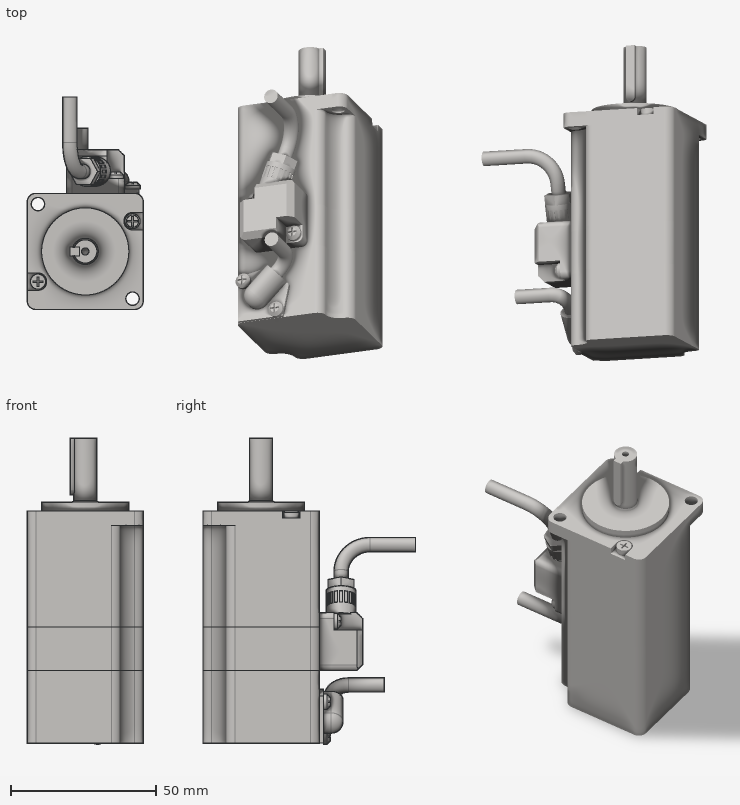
import cadquery as cq
import math

COS_45 = math.sqrt(0.5)

FRAME = 40.0
FRAME_HALF = FRAME / 2
CORNER_RADIUS = 3.0
REAR_TOP = 25.0
BRAKE_TOP = 40.0
FLANGE_TOP = 80.0
FLANGE_THICKNESS = 5.0
FLANGE_BOTTOM = FLANGE_TOP - FLANGE_THICKNESS

PILOT_DIAMETER = 30.0
PILOT_HEIGHT = 3.0
PILOT_TOP = FLANGE_TOP + PILOT_HEIGHT
SHAFT_DIAMETER = 8.0
SHAFT_LENGTH = 25.0
SHAFT_TOP = FLANGE_TOP + SHAFT_LENGTH
SHAFT_FOOT = 0.5
SHAFT_HOLE_DIAMETER = 2.5
SHAFT_HOLE_DEPTH = 6.0
DRILL_POINT_ANGLE = 118.0
KEY_WIDTH = 3.0
KEY_LENGTH = 19.6
KEY_OUTER_X = -5.2
KEY_INNER_X = -2.0

BOLT_CIRCLE = 46.0
HOLE_OFFSET = BOLT_CIRCLE / 2 * COS_45
HOLE_DIAMETER = 4.5
RELIEF_OPENING = 11.0
RELIEF_RADIUS = RELIEF_OPENING - 2 * CORNER_RADIUS

SCREW_X = HOLE_OFFSET
SCREW_Y = 10.4
SLOT_WIDTH = 6.0
SLOT_DEPTH = 2.4
FLANGE_SCREW_DIAMETER = 5.2
FLANGE_SCREW_CHAMFER = 0.5
CROSS_LENGTH = 3.3
CROSS_WIDTH = 0.6
CROSS_DEPTH = 1.0

HEAD_DIAMETER = 5.3
HEAD_RIM = 1.3
HEAD_HEIGHT = 2.4
HEAD_TOP_DIAMETER = 3.0

BLOCK_SIZE = 20.0
BLOCK_DEPTH = 15.0
BLOCK_X = 3.5
BLOCK_Z = REAR_TOP + BLOCK_SIZE / 2
BLOCK_CORNER_RADIUS = 2.0
BLOCK_CHAMFER = 2.1
BLOCK_NOTCH = 6.0
BLOCK_NOTCH_FLOOR = 5.0
GLAND_TILT = 20.0
GLAND_X = 3.85
GLAND_Y = FRAME_HALF + 7.5
GLAND_Z = 43.2
BARREL_DIAMETER = 10.3
BARREL_LENGTH = 9.9
GROOVE_COUNT = 18
GROOVE_WIDTH = 1.1
GROOVE_DEPTH = 0.3
GROOVE_LENGTH = 4.1
GROOVE_TOP_GAP = 1.8
NUT_ACROSS_FLATS = 9.0
NUT_HEIGHT = 3.2
POWER_CABLE_DIAMETER = 5.0
POWER_CABLE_STUB = 3.7
POWER_CABLE_BEND = 10.0
POWER_CABLE_END = 53.12

PLATE_THICKNESS = 1.4
PLATE_RIGHT = 18.5
PLATE_SIDE_TILT = 12.0
ENCODER_TILT = 45.0
BOSS_X = 3.55
BOSS_Z = 15.0
MOUTH_HALF = 3.65
BOSS_RADIUS = 4.1
BOSS_AXIS_Y = FRAME_HALF + 4.1
BOSS_LENGTH = 10.5
ENCODER_SCREW_LOW = (4.3, 2.3)
ENCODER_SCREW_HIGH = (16.3, 14.3)
ENCODER_CABLE_DIAMETER = 5.0
ENCODER_CABLE_STUB = 1.2
ENCODER_CABLE_BEND = 6.0
ENCODER_CABLE_END = 42.4


def slab(bottom, top):
    """Square frame section with rounded corners."""
    return (
        cq.Workplane("XY", origin=(0, 0, bottom))
        .rect(FRAME, FRAME)
        .extrude(top - bottom)
        .edges("|Z")
        .fillet(CORNER_RADIUS)
    )


def corner_relief(bottom, top):
    """Waste behind the mounting hole at (-X, +Y): a hollow with rounded lips."""
    r = CORNER_RADIUS
    s = COS_45
    side = FRAME_HALF
    lip = side - RELIEF_OPENING
    hollow = side - r
    wall = hollow - RELIEF_RADIUS
    return (
        cq.Workplane("XY", origin=(0, 0, bottom))
        .moveTo(-side, lip)
        .threePointArc((-side + r * (1 - s), lip + r * s), (-hollow, lip + r))
        .threePointArc((-hollow + RELIEF_RADIUS * s, hollow - RELIEF_RADIUS * s), (-wall, hollow))
        .threePointArc((-wall + r - r * s, side - r * (1 - s)), (-lip, side))
        .lineTo(-side, side)
        .close()
        .extrude(top - bottom)
    )


def relieved_slab(bottom, top):
    """Frame section without the two corners behind the mounting holes."""
    relief = corner_relief(bottom, top)
    opposite = relief.rotate((0, 0, 0), (0, 0, 1), 180)
    return slab(bottom, top).cut(relief).cut(opposite)


def key_blank():
    """Key with a round lower end, flush with the shaft end."""
    radius = KEY_WIDTH / 2
    straight = KEY_LENGTH - radius
    return (
        cq.Workplane("YZ", origin=(KEY_OUTER_X, 0, SHAFT_TOP))
        .moveTo(-radius, 0)
        .lineTo(-radius, -straight)
        .threePointArc((0, -KEY_LENGTH), (radius, -straight))
        .lineTo(radius, 0)
        .close()
        .extrude(KEY_INNER_X - KEY_OUTER_X)
    )


def shaft():
    """Shaft on a small conical foot, with a drilled hole in its end."""
    radius = SHAFT_DIAMETER / 2
    hole_radius = SHAFT_HOLE_DIAMETER / 2
    hole_bottom = SHAFT_TOP - SHAFT_HOLE_DEPTH
    hole_tip = hole_bottom - hole_radius / math.tan(math.radians(DRILL_POINT_ANGLE / 2))
    return (
        cq.Workplane("XZ")
        .moveTo(0, FLANGE_TOP)
        .lineTo(radius + SHAFT_FOOT, FLANGE_TOP)
        .lineTo(radius + SHAFT_FOOT, PILOT_TOP)
        .lineTo(radius, PILOT_TOP + SHAFT_FOOT)
        .lineTo(radius, SHAFT_TOP)
        .lineTo(hole_radius, SHAFT_TOP)
        .lineTo(hole_radius, hole_bottom)
        .lineTo(0, hole_tip)
        .close()
        .revolve(360, (0, 0), (0, 1))
    )


def screw_slot():
    """Round-ended slot for the flange screw at (+X, +Y), open to the +X side."""
    reach = FRAME_HALF - SCREW_X
    base = cq.Workplane("XY", origin=(SCREW_X, SCREW_Y, FLANGE_TOP - SLOT_DEPTH))
    round_end = base.circle(SLOT_WIDTH / 2).extrude(SLOT_DEPTH)
    mouth = base.center(reach / 2, 0).rect(reach, SLOT_WIDTH).extrude(SLOT_DEPTH)
    return round_end.union(mouth)


def motor_body():
    """Front section: relieved frame, flange, pilot and keyed shaft."""
    pilot = cq.Workplane("XY", origin=(0, 0, FLANGE_TOP)).circle(PILOT_DIAMETER / 2).extrude(PILOT_HEIGHT)
    holes = (
        cq.Workplane("XY", origin=(0, 0, FLANGE_BOTTOM))
        .pushPoints([(-HOLE_OFFSET, HOLE_OFFSET), (HOLE_OFFSET, -HOLE_OFFSET)])
        .circle(HOLE_DIAMETER / 2)
        .extrude(FLANGE_THICKNESS)
    )
    slot = screw_slot()
    return (
        relieved_slab(BRAKE_TOP, FLANGE_BOTTOM)
        .union(slab(FLANGE_BOTTOM, FLANGE_TOP))
        .union(pilot)
        .union(shaft())
        .cut(holes)
        .cut(slot)
        .cut(slot.rotate((0, 0, 0), (0, 0, 1), 180))
        .cut(key_blank())
    )


def cross_recess(workplane):
    """Cross-shaped driver recess sunk below the given plane."""
    bar = workplane.rect(CROSS_LENGTH, CROSS_WIDTH).extrude(-CROSS_DEPTH)
    return bar.union(workplane.rect(CROSS_WIDTH, CROSS_LENGTH).extrude(-CROSS_DEPTH))


def flange_screw(x, y, chamfered):
    """Cylinder head lying on its slot floor, level with the flange face."""
    head = (
        cq.Workplane("XY", origin=(x, y, FLANGE_TOP - SLOT_DEPTH))
        .circle(FLANGE_SCREW_DIAMETER / 2)
        .extrude(SLOT_DEPTH)
    )
    if chamfered:
        head = head.faces(">Z").chamfer(FLANGE_SCREW_CHAMFER)
    return head.cut(cross_recess(cq.Workplane("XY", origin=(x, y, FLANGE_TOP))))


def connector_screw(x, y, z):
    """Raised screw head on a face at height y, pointing along +Y."""
    head = (
        cq.Workplane("XY")
        .lineTo(HEAD_DIAMETER / 2, 0)
        .lineTo(HEAD_DIAMETER / 2, HEAD_RIM)
        .lineTo(HEAD_TOP_DIAMETER / 2, HEAD_HEIGHT)
        .lineTo(0, HEAD_HEIGHT)
        .close()
        .revolve(360, (0, 0), (0, 1))
        .translate((x, y, z))
    )
    crown = cq.Workplane(cq.Plane((x, y + HEAD_HEIGHT, z), xDir=(1, 0, 0), normal=(0, 1, 0)))
    return head.cut(cross_recess(crown))


def tilted_plane(x, y, z, tilt):
    """Plane whose normal is +Z leaned by tilt degrees toward -X; its x direction is +Y."""
    angle = math.radians(tilt)
    return cq.Plane((x, y, z), xDir=(0, 1, 0), normal=(-math.sin(angle), 0, math.cos(angle)))


def raised(plane, height):
    """The same plane moved along its normal."""
    return cq.Plane(plane.origin + plane.zDir * height, xDir=plane.xDir, normal=plane.zDir)


def cable(plane, diameter, stub, bend, end_y):
    """Cable leaving the plane squarely, then bending to run along +Y as far as end_y."""
    s = COS_45
    start = plane.origin
    bend_start = plane.toWorldCoords((0, 0, stub))
    bend_middle = plane.toWorldCoords((bend * (1 - s), 0, stub + bend * s))
    bend_end = plane.toWorldCoords((bend, 0, stub + bend))
    end = cq.Vector(bend_end.x, end_y, bend_end.z)
    path = cq.Wire.assembleEdges([
        cq.Edge.makeLine(start, bend_start),
        cq.Edge.makeThreePointArc(bend_start, bend_middle, bend_end),
        cq.Edge.makeLine(bend_end, end),
    ])
    return cq.Workplane(plane).circle(diameter / 2).sweep(cq.Workplane(path))


def connector_block():
    """Block with rounded sides, a chamfered outer face and a screw notch at two corners."""
    centre = (BLOCK_X, FRAME_HALF + BLOCK_DEPTH / 2, BLOCK_Z)
    box = cq.Workplane("XY").box(BLOCK_SIZE, BLOCK_DEPTH, BLOCK_SIZE).translate(centre)
    block = box.edges("|Y").fillet(BLOCK_CORNER_RADIUS).intersect(box.faces(">Y").chamfer(BLOCK_CHAMFER))
    notch_depth = BLOCK_DEPTH - BLOCK_NOTCH_FLOOR
    notch_y = FRAME_HALF + BLOCK_NOTCH_FLOOR
    shift = BLOCK_SIZE / 2 - BLOCK_NOTCH / 2
    for side in (-1, 1):
        x = BLOCK_X + side * shift
        z = BLOCK_Z + side * shift
        notch = cq.Workplane("XY").box(BLOCK_NOTCH, notch_depth, BLOCK_NOTCH)
        block = block.cut(notch.translate((x, notch_y + notch_depth / 2, z)))
        block = block.union(connector_screw(x, notch_y, z))
    return block


def gland_barrel(plane):
    """Round barrel with a ring of grip grooves."""
    radius = BARREL_DIAMETER / 2
    barrel = cq.Workplane(plane).circle(radius).extrude(BARREL_LENGTH)
    groove_bottom = BARREL_LENGTH - GROOVE_TOP_GAP - GROOVE_LENGTH
    grooves = (
        cq.Workplane(raised(plane, groove_bottom))
        .polarArray(radius, 180 / GROOVE_COUNT, 360, GROOVE_COUNT)
        .rect(2 * GROOVE_DEPTH, GROOVE_WIDTH)
        .extrude(GROOVE_LENGTH)
    )
    return barrel.cut(grooves)


def power_connector():
    """Connector block, its tilted gland and the cable."""
    base = tilted_plane(GLAND_X, GLAND_Y, GLAND_Z, GLAND_TILT)
    nut_base = raised(base, BARREL_LENGTH)
    across_corners = NUT_ACROSS_FLATS / math.cos(math.pi / 6)
    nut = (
        cq.Workplane(nut_base)
        .transformed(rotate=(0, 0, 90))
        .polygon(6, across_corners)
        .extrude(NUT_HEIGHT)
    )
    lead = cable(
        raised(nut_base, NUT_HEIGHT),
        POWER_CABLE_DIAMETER,
        POWER_CABLE_STUB,
        POWER_CABLE_BEND,
        POWER_CABLE_END,
    )
    return connector_block().union(gland_barrel(base)).union(nut).union(lead)


def encoder_plate():
    """Plate with a slanted mouth edge and leaning sides, symmetric about the boss axis."""
    mirror_sum = BOSS_X + BOSS_Z
    low_z = BOSS_Z - MOUTH_HALF
    low_x = BOSS_X - MOUTH_HALF
    foot_z = mirror_sum - PLATE_RIGHT
    foot_x = low_x + (low_z - foot_z) * math.tan(math.radians(PLATE_SIDE_TILT))
    return (
        cq.Workplane("XZ", origin=(0, FRAME_HALF, 0))
        .moveTo(low_x, low_z)
        .lineTo(foot_x, foot_z)
        .lineTo(PLATE_RIGHT, foot_z)
        .lineTo(PLATE_RIGHT, mirror_sum - foot_x)
        .lineTo(mirror_sum - low_z, mirror_sum - low_x)
        .close()
        .extrude(-PLATE_THICKNESS)
    )


def encoder_boss(plane):
    """Arched boss along the tilted axis, closed by a round end."""
    foot = FRAME_HALF - BOSS_AXIS_Y
    arch = (
        cq.Workplane(plane)
        .moveTo(foot, -BOSS_RADIUS)
        .lineTo(0, -BOSS_RADIUS)
        .threePointArc((BOSS_RADIUS, 0), (0, BOSS_RADIUS))
        .lineTo(foot, BOSS_RADIUS)
        .close()
        .extrude(-BOSS_LENGTH)
    )
    end = plane.toWorldCoords((0, 0, -BOSS_LENGTH))
    dome = cq.Workplane("XY").sphere(BOSS_RADIUS).translate(end)
    post = (
        cq.Workplane("XZ", origin=(end.x, FRAME_HALF, end.z))
        .circle(BOSS_RADIUS)
        .extrude(FRAME_HALF - BOSS_AXIS_Y)
    )
    inner_side = cq.Workplane("XY").box(FRAME, FRAME, FRAME).translate((end.x, 0, end.z))
    return arch.union(dome).union(post).cut(inner_side)


def encoder_connector():
    """Encoder connector with its two screws and the cable."""
    mouth = tilted_plane(BOSS_X, BOSS_AXIS_Y, BOSS_Z, ENCODER_TILT)
    body = encoder_plate().union(encoder_boss(mouth))
    for x, z in (ENCODER_SCREW_LOW, ENCODER_SCREW_HIGH):
        body = body.union(connector_screw(x, FRAME_HALF + PLATE_THICKNESS, z))
    lead = cable(
        mouth,
        ENCODER_CABLE_DIAMETER,
        ENCODER_CABLE_STUB,
        ENCODER_CABLE_BEND,
        ENCODER_CABLE_END,
    )
    return body.union(lead)


encoder_housing = relieved_slab(0, REAR_TOP)
brake_housing = relieved_slab(REAR_TOP, BRAKE_TOP)
motor = motor_body()
key = key_blank()
flange_screws = [
    flange_screw(side * SCREW_X, side * SCREW_Y, chamfered) for side, chamfered in ((1, True), (-1, False))
]
power = power_connector()
encoder = encoder_connector()

bodies = [encoder_housing, brake_housing, motor, key, *flange_screws, power, encoder]
result = cq.Compound.makeCompound([solid for body in bodies for solid in body.vals()])